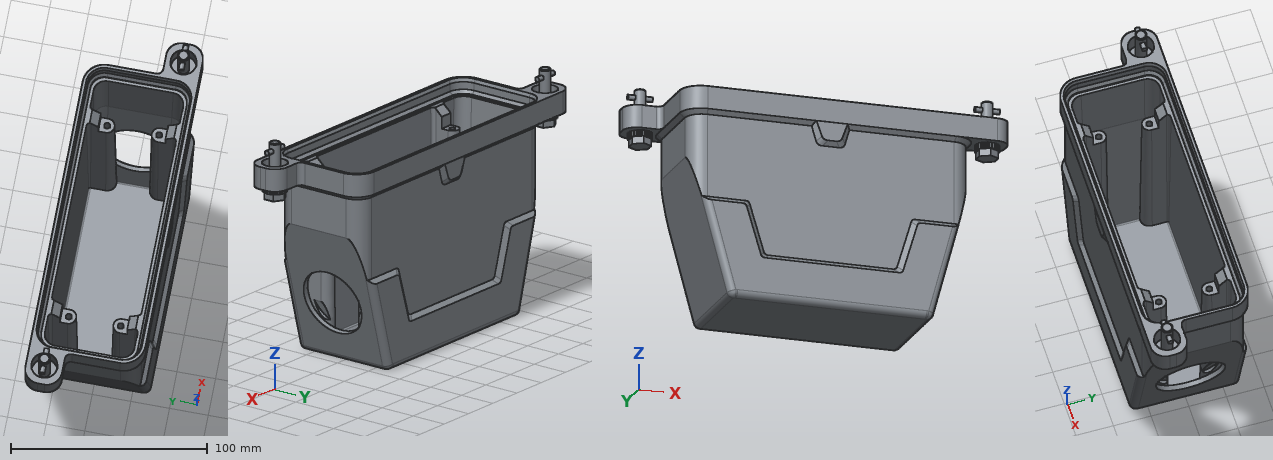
import cadquery as cq
import math

flange_half_x = 78.0
flange_half_y = 29.0
flange_radius = 11.2
flange_top = 111.0
flange_bottom = 98.8
overall_x = 193.0

body_half_x = 75.3
body_half_y = 26.6
body_radius = 9.0
slope_break_z = 75.3
bottom_half_x = 54.6
bottom_round = 3.5
flange_bevel = flange_half_y - body_half_y

panel_half_y = 29.05
panel_rise = panel_half_y - body_half_y
panel_edge_round = 3.7
panel_corner_round = 3.5
panel_top_z = 52.5
notch_floor_z = 24.5
notch_top_half_x = 43.8
notch_floor_half_x = 35.3

tab_top_half_x = 10.8
tab_bottom_half_x = 7.1
tab_bottom_z = 86.5
tab_corner_round = 4.8

mouth_half_x = 76.2
mouth_half_y = 27.2
mouth_radius = 9.5
mouth_bevel_inset = 0.8
mouth_bevel_height = 2.0
seat_foot_inset = 2.3
seat_foot_top_z = 105.0
seat_foot_bottom_z = 103.3
seat_z = 102.5

cavity_half_x = 72.2
cavity_half_y = 23.2
cavity_radius = 6.4
cavity_break_z = 69.5
cavity_break_half_x = 70.0
cavity_floor_z = 3.9
cavity_floor_half_x = 52.9
cavity_floor_half_y = 22.0
wall_draft = (cavity_half_y - cavity_floor_half_y) / (seat_z - cavity_floor_z)
cavity_break_half_y = cavity_floor_half_y + wall_draft * (cavity_break_z - cavity_floor_z)
cavity_floor_round = 0.8

post_x = 52.1
post_y = 13.41
post_top_z = 92.0
post_radius = 3.7
post_draft = math.degrees(math.atan(wall_draft))
post_wall_fillet = 2.0
post_hole_radius = 1.5
post_hole_depth = 11.5
gusset_toe_y = 17.4
gusset_toe_z = 98.5
gusset_head_y = 21.8

entry_radius = 18.3
entry_z = 33.4
entry_reach = 11.5

ear_width_y = 19.0
ear_radius = 7.7
ear_inner_radius = 3.0
bolt_x = 86.5
bolt_y = 19.5
ear_hole_radius = 6.65
ear_hole_depth = 9.6
shaft_radius = 3.0
shaft_top_z = 122.0
shaft_chamfer = 0.5
cross_pin_z = 117.7
cross_pin_radius = 1.4
cross_pin_length = 13.1
washer_radius = 6.4
washer_root_radius = 5.8
washer_bottom_z = 95.7
washer_teeth = 24
hex_across_flats = 10.2
hex_bottom_z = 91.9


def rounded_box(half_x, half_y, radius, bottom_z, top_z):
    """Block centred on Z with rounded vertical edges."""
    return (
        cq.Workplane("XY", origin=(0, 0, bottom_z))
        .rect(2 * half_x, 2 * half_y)
        .extrude(top_z - bottom_z)
        .edges("|Z")
        .fillet(radius)
    )


def rounded_stack(levels):
    """Straight-sided lofts through rounded rectangles given as (half_x, half_y, radius, z)."""
    stack = None
    for lower, upper in zip(levels, levels[1:]):
        sections = [
            cq.Sketch().rect(2 * half_x, 2 * half_y).vertices().fillet(radius).moved(cq.Location((0, 0, z)))
            for half_x, half_y, radius, z in (lower, upper)
        ]
        layer = cq.Workplane("XY").placeSketch(*sections).loft(ruled=True)
        stack = layer if stack is None else stack.union(layer)
    return stack


def mirror_points(right_side):
    """Close an outline symmetric about X = 0 from its right half."""
    return right_side + [(-x, z) for x, z in reversed(right_side)]


def side_prism(right_side, half_y):
    """Prism along Y from the right half of its XZ outline."""
    return cq.Workplane("XZ").polyline(mirror_points(right_side)).close().extrude(half_y, both=True)


def beveled_pad(base_outline, face_outline, corner_round, round_half_x):
    """Pad on the -Y side, bevelled from base to face, its bevel corners rounded within |X| < round_half_x."""
    return (
        cq.Workplane("XZ", origin=(0, -body_half_y, 0))
        .polyline(base_outline).close()
        .workplane(offset=panel_rise)
        .polyline(face_outline).close()
        .loft(ruled=True, combine=True)
        .edges(cq.selectors.BoxSelector(
            (-round_half_x, -panel_half_y, bottom_round),
            (round_half_x, -body_half_y, flange_bottom - bottom_round),
        ))
        .edges("not(#Y)")
        .fillet(corner_round)
    )


def both_sides(pad):
    """Repeat a feature on the opposite long side."""
    return pad.union(pad.mirror("XZ"))


def opposite_corners(item):
    """Repeat a feature of the (-X, +Y) corner at the (+X, -Y) corner."""
    return item.union(item.rotate((0, 0, 0), (0, 0, 1), 180))


end_outline = [(bottom_half_x, 0), (body_half_x, slope_break_z), (body_half_x, flange_top)]
upper_body = rounded_box(body_half_x, body_half_y, body_radius, 0, flange_top)
envelope = (
    side_prism(end_outline, panel_half_y)
    .edges("not(|X or |Y or |Z)")
    .fillet(panel_edge_round)
    .faces("<Z")
    .edges()
    .fillet(bottom_round)
)


def panel_outline(inset):
    """U-shaped panel outline; the inset moves its upper edges inward."""
    return mirror_points([
        (notch_floor_half_x + inset, notch_floor_z - inset),
        (notch_top_half_x + inset, panel_top_z - inset),
        (body_half_x, panel_top_z - inset),
        (body_half_x, 0),
    ])


panel_pad = beveled_pad(
    panel_outline(0), panel_outline(panel_rise), panel_corner_round, bottom_half_x
)
panel_root = cq.Workplane("XZ").polyline(panel_outline(0)).close().extrude(body_half_y, both=True)
shell = upper_body.union(panel_root).union(both_sides(panel_pad)).intersect(envelope)

flange = rounded_box(flange_half_x, flange_half_y, flange_radius, flange_bottom, flange_top)
under_bevel = rounded_stack([
    (body_half_x, body_half_y, body_radius, flange_bottom - flange_bevel),
    (flange_half_x, flange_half_y, flange_radius, flange_bottom),
])
shell = shell.union(flange).union(under_bevel)


def tab_outline(inset):
    """Tab outline; the inset moves its sides and lower edge inward."""
    return mirror_points([
        (tab_bottom_half_x - inset, tab_bottom_z + inset),
        (tab_top_half_x - inset, flange_bottom),
    ])


tab = beveled_pad(tab_outline(0), tab_outline(panel_rise), tab_corner_round, tab_top_half_x)
shell = shell.union(both_sides(tab))

ear_outer_x = overall_x / 2
ear_inner_y = flange_half_y - ear_width_y
ear = (
    cq.Workplane("XY", origin=(0, 0, flange_bottom))
    .moveTo(-bottom_half_x, flange_half_y)
    .lineTo(-ear_outer_x + ear_radius, flange_half_y)
    .radiusArc((-ear_outer_x, flange_half_y - ear_radius), -ear_radius)
    .lineTo(-ear_outer_x, ear_inner_y + ear_radius)
    .radiusArc((-ear_outer_x + ear_radius, ear_inner_y), -ear_radius)
    .lineTo(-flange_half_x - ear_inner_radius, ear_inner_y)
    .radiusArc((-flange_half_x, ear_inner_y - ear_inner_radius), ear_inner_radius)
    .lineTo(-bottom_half_x, ear_inner_y - ear_inner_radius)
    .close()
    .extrude(flange_top - flange_bottom)
)
ear_hole = (
    cq.Workplane("XY", origin=(-bolt_x, bolt_y, flange_top - ear_hole_depth))
    .circle(ear_hole_radius)
    .extrude(ear_hole_depth)
)
shell = shell.union(opposite_corners(ear)).cut(opposite_corners(ear_hole))


def mouth_level(inset, z):
    """Rounded rectangle of the mouth, moved inward by the inset, at height z."""
    return (mouth_half_x - inset, mouth_half_y - inset, mouth_radius - inset, z)


seat = rounded_stack([
    mouth_level(seat_foot_inset, seat_z),
    mouth_level(seat_foot_inset, seat_foot_bottom_z),
    mouth_level(mouth_bevel_inset, seat_foot_top_z),
    mouth_level(mouth_bevel_inset, flange_top - mouth_bevel_height),
    mouth_level(0, flange_top),
])
cavity = rounded_stack([
    (cavity_floor_half_x, cavity_floor_half_y, cavity_radius, cavity_floor_z),
    (cavity_break_half_x, cavity_break_half_y, cavity_radius, cavity_break_z),
    (cavity_half_x, cavity_half_y, cavity_radius, seat_z),
])
cavity = cavity.clean().faces("<Z").edges().fillet(cavity_floor_round)

flare_half_x = post_radius + post_wall_fillet
flare_start_y = cavity_half_y - post_wall_fillet
post_block = (
    cq.Workplane("XY", origin=(post_x, 0, seat_z))
    .moveTo(-flare_half_x, body_half_y)
    .lineTo(-flare_half_x, cavity_half_y)
    .radiusArc((-post_radius, flare_start_y), post_wall_fillet)
    .lineTo(-post_radius, post_y)
    .threePointArc((0, post_y - post_radius), (post_radius, post_y))
    .lineTo(post_radius, flare_start_y)
    .radiusArc((flare_half_x, cavity_half_y), post_wall_fillet)
    .lineTo(flare_half_x, body_half_y)
    .close()
    .extrude(-seat_z, taper=-post_draft)
)
post_relief = (
    cq.Workplane("YZ", origin=(post_x, 0, 0))
    .polyline([
        (0, post_top_z),
        (gusset_toe_y, post_top_z),
        (gusset_toe_y, gusset_toe_z),
        (gusset_head_y, seat_z),
        (0, seat_z),
    ])
    .close()
    .extrude(flare_half_x, both=True)
)
post_hole = (
    cq.Workplane("XY", origin=(post_x, post_y, post_top_z))
    .circle(post_hole_radius)
    .extrude(-post_hole_depth)
)
post = post_block.cut(post_relief).cut(post_hole)
posts = both_sides(post.union(post.mirror("YZ")))
shell = shell.cut(cavity.cut(posts)).cut(seat)

slope_run = body_half_x - bottom_half_x
slope_length = math.hypot(slope_run, slope_break_z)
entry_x = bottom_half_x + slope_run * entry_z / slope_break_z
slope_normal = cq.Vector(slope_break_z / slope_length, 0, -slope_run / slope_length)
entry_start = cq.Vector(entry_x, 0, entry_z) - slope_normal * (entry_reach / 2)
entry = cq.Workplane(cq.Solid.makeCylinder(entry_radius, entry_reach, entry_start, slope_normal))
shell = shell.cut(entry)

ear_floor_z = flange_top - ear_hole_depth
shaft = (
    cq.Workplane("XY", origin=(-bolt_x, bolt_y, ear_floor_z))
    .circle(shaft_radius)
    .extrude(shaft_top_z - ear_floor_z)
    .faces(">Z")
    .chamfer(shaft_chamfer)
)
cross_pin = (
    cq.Workplane("YZ", origin=(-bolt_x, bolt_y, cross_pin_z))
    .circle(cross_pin_radius)
    .extrude(cross_pin_length / 2, both=True)
)
tooth_points = []
for step in range(2 * washer_teeth):
    radius = washer_radius if step % 2 == 0 else washer_root_radius
    angle = math.pi * step / washer_teeth
    tooth_points.append((radius * math.cos(angle), radius * math.sin(angle)))
washer = (
    cq.Workplane("XY", origin=(-bolt_x, bolt_y, washer_bottom_z))
    .polyline(tooth_points)
    .close()
    .extrude(flange_bottom - washer_bottom_z)
)
hex_across_corners = hex_across_flats / math.cos(math.pi / 6)
hex_head = (
    cq.Workplane("XY", origin=(-bolt_x, bolt_y, hex_bottom_z))
    .transformed(rotate=(0, 0, 90))
    .polygon(6, hex_across_corners)
    .extrude(washer_bottom_z - hex_bottom_z)
)
bolt = shaft.union(cross_pin).union(washer).union(hex_head)
result = shell.union(opposite_corners(bolt))